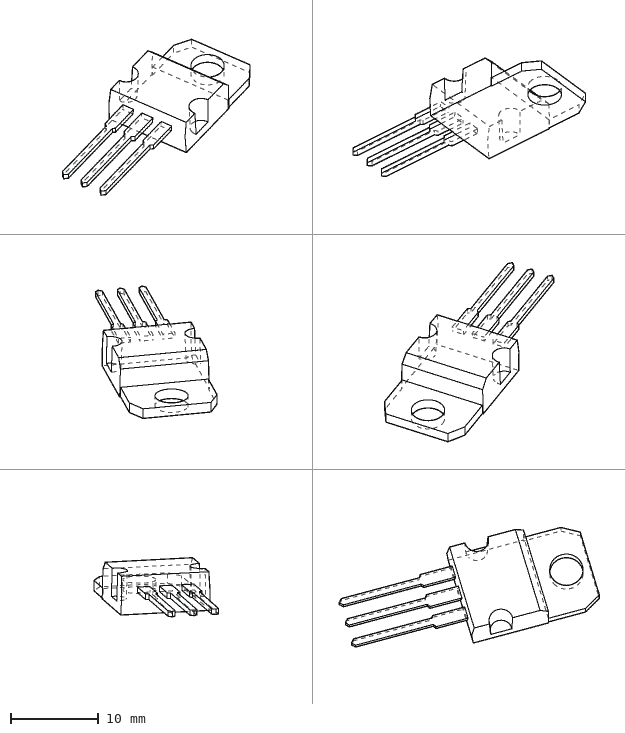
import cadquery as cq

total_length = 29.0

tab_width = 10.27
tab_thickness = 1.22
tab_corner_x = 1.15
tab_corner_y = 1.97
hole_diameter = 3.8
hole_y = -2.78

body_height = 4.5
body_bottom_width = 10.5
body_top_width = tab_width
body_back_y = -6.38
body_bottom_front_y = -15.3
body_parting_y = -15.5
body_top_front_y = -15.17
parting_height = 2.55
back_chamfer = 1.0

notch_y = -11.98
notch_center_x = 5.08
notch_top_radius = 1.35
notch_floor_radius = 1.25

lead_pitch = 2.55
lead_thickness = 0.65
lead_half_width = 0.4
shoulder_half_width = 0.75
shoulder_inner_half_width = 0.67
shoulder_end_y = -19.17
shoulder_taper = 0.23
tip_length = 0.38

embed_depth = 0.58


def make_tab():
    """Flat plate with two clipped far corners and a mounting hole."""
    half = tab_width / 2
    plate = (
        cq.Workplane("XY")
        .polyline([
            (-half, body_back_y - embed_depth),
            (-half, -tab_corner_y),
            (-half + tab_corner_x, 0),
            (half - tab_corner_x, 0),
            (half, -tab_corner_y),
            (half, body_back_y - embed_depth),
        ])
        .close()
        .extrude(tab_thickness)
    )
    hole = cq.Workplane("XY").center(0, hole_y).circle(hole_diameter / 2).extrude(tab_thickness)
    return plate.cut(hole)


def make_body():
    """Intersection of the side profile and the drafted end profile."""
    side = (
        cq.Workplane("YZ")
        .polyline([
            (body_back_y, 0),
            (body_back_y, body_height - back_chamfer),
            (body_back_y - back_chamfer, body_height),
            (body_top_front_y, body_height),
            (body_parting_y, parting_height),
            (body_bottom_front_y, 0),
        ])
        .close()
        .extrude(body_bottom_width / 2, both=True)
    )
    ends = (
        cq.Workplane("XZ")
        .polyline([
            (-body_bottom_width / 2, 0),
            (body_bottom_width / 2, 0),
            (body_top_width / 2, body_height),
            (-body_top_width / 2, body_height),
        ])
        .close()
        .extrude(total_length)
    )
    return side.intersect(ends)


def make_notch(side):
    """Conical cutter for the notch on one side (-1 or 1)."""
    return (
        cq.Workplane("XY", origin=(side * notch_center_x, notch_y, tab_thickness))
        .circle(notch_floor_radius)
        .workplane(offset=body_height - tab_thickness)
        .circle(notch_top_radius)
        .loft(ruled=True)
    )


def make_lead(center_x, left_half_width, right_half_width):
    """Flat lead with a wide shoulder, a narrow shank and a pointed tip."""
    root_y = body_parting_y + embed_depth
    shank_y = shoulder_end_y - shoulder_taper
    tip_y = -total_length + tip_length
    return (
        cq.Workplane("XY", origin=(center_x, 0, parting_height))
        .polyline([
            (-left_half_width, root_y),
            (-left_half_width, shoulder_end_y),
            (-lead_half_width, shank_y),
            (-lead_half_width, tip_y),
            (0, -total_length),
            (lead_half_width, tip_y),
            (lead_half_width, shank_y),
            (right_half_width, shoulder_end_y),
            (right_half_width, root_y),
        ])
        .close()
        .extrude(lead_thickness)
    )


result = make_body()
for side in (-1, 1):
    result = result.cut(make_notch(side))
result = result.union(make_tab())

result = result.union(make_lead(-lead_pitch, shoulder_half_width, shoulder_inner_half_width))
result = result.union(make_lead(0, shoulder_half_width, shoulder_half_width))
result = result.union(make_lead(lead_pitch, shoulder_inner_half_width, shoulder_half_width))